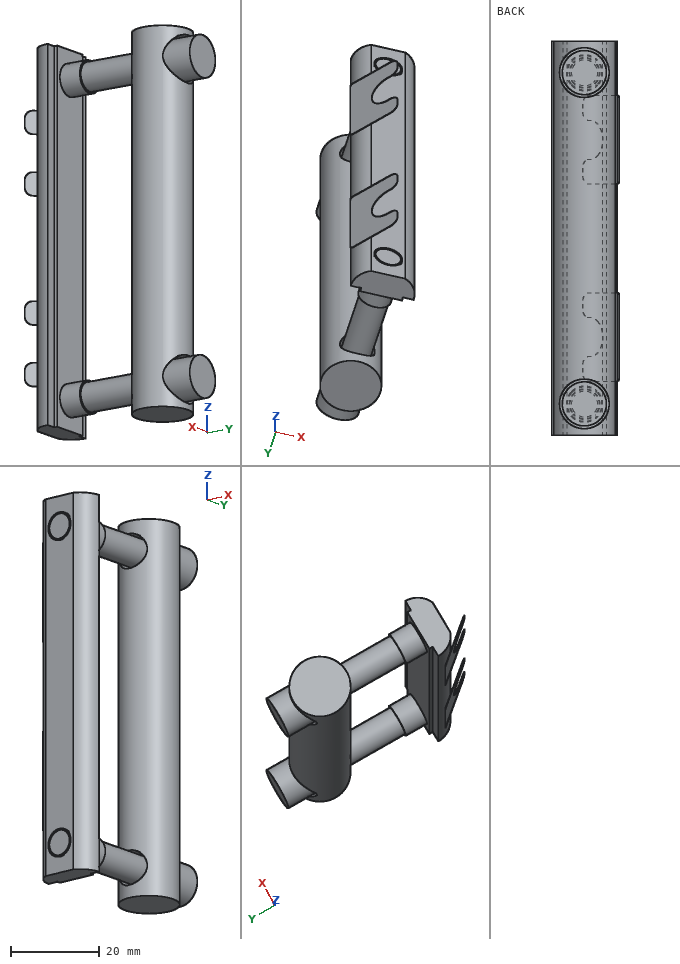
import cadquery as cq
import math

LENGTH = 89.5

TUBE_DIAMETER = 14.0
CROSS_HOLE_DIAMETER = 8.2
COUNTERBORE_DIAMETER = 11.3
HEAD_SEAT_Y = 0.0

PIN_SPACING = 75.2
HEAD_DIAMETER = 10.0
SHAFT_DIAMETER = 7.0
COLLAR_DIAMETER = 7.8
TIP_DIAMETER = 6.6
HEAD_BACK_Y = 11.2
COLLAR_BACK_Y = -20.3
TIP_CHAMFER = 0.4

RAIL_WIDTH = 14.9
RAIL_BACK_Y = -25.9
RIDGE_WIDTH = 9.85
RIDGE_HEIGHT = 0.9
FRONT_FLAT_WIDTH = 8.05
EDGE_RADIUS = 5.6

CLIP_SPACING = 44.75
CLIP_HEIGHT = 20.05
CLIP_WIDTH = 13.0
CLIP_THICKNESS = 0.1
CLIP_TILT = 50.0
CLIP_OVERHANG = 2.8
NOTCH_WIDTH = 8.9
NOTCH_DEPTH = 7.1
CLIP_TIP_RADIUS = 2.0
CLIP_BACK_RADIUS = 0.6

SHOULDER_Y = RAIL_BACK_Y - RIDGE_HEIGHT
EDGE_CENTER_X = RAIL_WIDTH / 2 - EDGE_RADIUS
EDGE_CENTER_Y = SHOULDER_Y
EDGE_END_X = FRONT_FLAT_WIDTH / 2
RAIL_FRONT_Y = EDGE_CENTER_Y - math.sqrt(EDGE_RADIUS**2 - (EDGE_END_X - EDGE_CENTER_X) ** 2)

NORMAL_X = math.sin(math.radians(CLIP_TILT))
NORMAL_Y = -math.cos(math.radians(CLIP_TILT))
CROWN_X = EDGE_CENTER_X + EDGE_RADIUS * NORMAL_X
CROWN_Y = EDGE_CENTER_Y + EDGE_RADIUS * NORMAL_Y


def rod(diameter, start_y, end_y, z):
    """Cylinder along Y, from start_y down to end_y."""
    plane = cq.Plane(origin=(0, start_y, z), xDir=(1, 0, 0), normal=(0, -1, 0))
    return cq.Workplane(plane).circle(diameter / 2).extrude(start_y - end_y)


def make_tube(pin_heights):
    tube = cq.Workplane("XY").circle(TUBE_DIAMETER / 2).extrude(LENGTH / 2, both=True)
    for z in pin_heights:
        tube = tube.cut(rod(CROSS_HOLE_DIAMETER, TUBE_DIAMETER, -TUBE_DIAMETER, z))
        tube = tube.cut(rod(COUNTERBORE_DIAMETER, TUBE_DIAMETER, HEAD_SEAT_Y, z))
    return tube


def make_pin(z):
    head = rod(HEAD_DIAMETER, HEAD_BACK_Y, HEAD_SEAT_Y, z)
    shaft = rod(SHAFT_DIAMETER, HEAD_SEAT_Y, COLLAR_BACK_Y, z)
    collar = rod(COLLAR_DIAMETER, COLLAR_BACK_Y, RAIL_BACK_Y, z)
    tip = rod(TIP_DIAMETER, RAIL_BACK_Y, RAIL_FRONT_Y, z).faces("<Y").chamfer(TIP_CHAMFER)
    return head.union(shaft).union(collar).union(tip)


def make_rail(pin_heights):
    side_x = RAIL_WIDTH / 2
    ridge_x = RIDGE_WIDTH / 2
    rail = (
        cq.Workplane("XY")
        .moveTo(-ridge_x, RAIL_BACK_Y)
        .lineTo(ridge_x, RAIL_BACK_Y)
        .lineTo(ridge_x, SHOULDER_Y)
        .lineTo(side_x, SHOULDER_Y)
        .threePointArc((CROWN_X, CROWN_Y), (EDGE_END_X, RAIL_FRONT_Y))
        .lineTo(-EDGE_END_X, RAIL_FRONT_Y)
        .threePointArc((-CROWN_X, CROWN_Y), (-side_x, SHOULDER_Y))
        .lineTo(-ridge_x, SHOULDER_Y)
        .close()
        .extrude(LENGTH / 2, both=True)
    )
    for z in pin_heights:
        rail = rail.cut(rod(TIP_DIAMETER, RAIL_BACK_Y, RAIL_FRONT_Y, z))
    return rail


def make_clip(z):
    plane = cq.Plane(
        origin=(-CROWN_X, CROWN_Y, z),
        xDir=(-NORMAL_Y, -NORMAL_X, 0),
        normal=(-NORMAL_X, NORMAL_Y, 0),
    )
    back_x = -CLIP_OVERHANG
    tip_x = back_x + CLIP_WIDTH
    half_height = CLIP_HEIGHT / 2
    notch_radius = NOTCH_WIDTH / 2
    notch_floor_x = tip_x - NOTCH_DEPTH
    notch_center_x = notch_floor_x + notch_radius
    plate = (
        cq.Workplane(plane)
        .moveTo(back_x, -half_height)
        .lineTo(tip_x, -half_height)
        .lineTo(tip_x, -notch_radius)
        .lineTo(notch_center_x, -notch_radius)
        .threePointArc((notch_floor_x, 0), (notch_center_x, notch_radius))
        .lineTo(tip_x, notch_radius)
        .lineTo(tip_x, half_height)
        .lineTo(back_x, half_height)
        .close()
        .extrude(CLIP_THICKNESS)
    )
    across_plate = cq.selectors.ParallelDirSelector(plane.zDir)
    tip_limit_y = plane.toWorldCoords((tip_x - CLIP_TIP_RADIUS / 2, 0, 0)).y
    tip_corners = plate.edges(across_plate).filter(lambda edge: edge.Center().y < tip_limit_y)
    plate = tip_corners.fillet(CLIP_TIP_RADIUS)
    back_corners = plate.edges(across_plate).filter(lambda edge: edge.Center().y > plane.origin.y)
    return back_corners.fillet(CLIP_BACK_RADIUS)


pin_heights = (-PIN_SPACING / 2, PIN_SPACING / 2)
clip_heights = (-CLIP_SPACING / 2, CLIP_SPACING / 2)

tube = make_tube(pin_heights)
rail = make_rail(pin_heights)
pins = [make_pin(z) for z in pin_heights]
clips = [make_clip(z) for z in clip_heights]

result = cq.Compound.makeCompound(
    [tube.val(), rail.val(), *[pin.val() for pin in pins], *[clip.val() for clip in clips]]
)